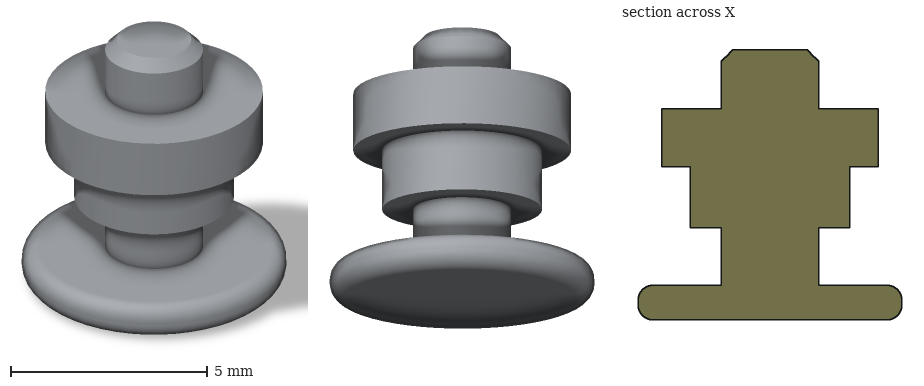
import cadquery as cq

flange_diameter = 6.75
pin_diameter = 2.5
shoulder_diameter = 4.08
collar_diameter = 5.55

flange_height = 0.9
neck_height = 1.45
shoulder_height = 1.55
collar_height = 1.5
tip_height = 1.5

flange_fillet = 0.4
tip_chamfer = 0.3


def disc(diameter, height, base_z):
    """Solid cylinder on the Z axis, standing on the plane at base_z."""
    return cq.Workplane("XY").workplane(offset=base_z).circle(diameter / 2).extrude(height)


def make_flange():
    """Bottom disc with both rims rounded, leaving a narrow straight band between."""
    return disc(flange_diameter, flange_height, 0).edges("%CIRCLE").fillet(flange_fillet)


def make_tip(base_z):
    """Top end of the pin with a chamfered lead-in."""
    return disc(pin_diameter, tip_height, base_z).faces(">Z").edges().chamfer(tip_chamfer)


neck_z = flange_height
shoulder_z = neck_z + neck_height
collar_z = shoulder_z + shoulder_height
tip_z = collar_z + collar_height

result = (
    make_flange()
    .union(disc(pin_diameter, neck_height, neck_z))
    .union(disc(shoulder_diameter, shoulder_height, shoulder_z))
    .union(disc(collar_diameter, collar_height, collar_z))
    .union(make_tip(tip_z))
)